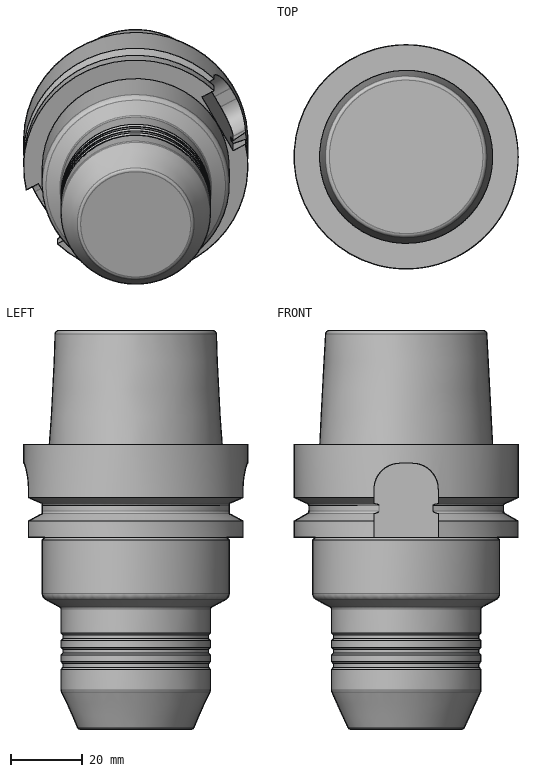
import cadquery as cq

total_height = 112.0

nose_tip_radius = 16.1
nose_tip_fillet = 1.0
nose_height = 10.8
neck_radius = 42.0 / 2
nose_edge_fillet = 1.7
neck_top = 34.2
neck_top_fillet = 0.6

ring_groove_count = 3
first_ring_groove_z = 17.9
ring_groove_pitch = 4.0
ring_groove_width = 2.1
ring_groove_floor_width = 1.0
ring_groove_depth = 0.6

body_radius = 52.5 / 2
body_shoulder_z = 37.0
body_shoulder_fillet = 2.0
body_top_chamfer = 0.7

flange_radius = 63.0 / 2
flange_bottom = 53.9
flange_top = 80.0
gripper_groove_radius = 27.3
gripper_groove_bottom = 58.5
gripper_groove_top = 65.1
gripper_groove_floor_bottom = 60.8
gripper_groove_floor_top = 63.2
gripper_groove_lower_fillet = 0.9
gripper_groove_upper_fillet = 0.6

slot_width = 18.0
slot_top = 74.7
slot_corner_radius = 7.3
slot_floor = body_radius

taper_base_radius = 24.3
taper_top_radius = 22.6
taper_top_fillet = 1.1


def revolve_outline(points):
    """Revolve a closed outline of (radius, height) points about Z."""
    return cq.Workplane("XZ").polyline(points).close().revolve(360, (0, 0, 0), (0, 1, 0))


def edges_at(radius, height):
    """Select the circular edge with the given radius at the given height."""
    reach = radius + 0.06
    gap = 0.06
    return cq.selectors.BoxSelector(
        (-reach, -reach, height - gap), (reach, reach, height + gap), boundingbox=True
    )


def make_turned_body():
    body = revolve_outline([
        (0, 0),
        (nose_tip_radius, 0),
        (neck_radius, nose_height),
        (neck_radius, neck_top),
        (body_radius, body_shoulder_z),
        (body_radius, flange_bottom - body_top_chamfer),
        (body_radius - body_top_chamfer, flange_bottom),
        (flange_radius, flange_bottom),
        (flange_radius, gripper_groove_bottom),
        (gripper_groove_radius, gripper_groove_floor_bottom),
        (gripper_groove_radius, gripper_groove_floor_top),
        (flange_radius, gripper_groove_top),
        (flange_radius, flange_top),
        (taper_base_radius, flange_top),
        (taper_top_radius, total_height),
        (0, total_height),
    ])
    rounded_edges = [
        (nose_tip_radius, 0, nose_tip_fillet),
        (neck_radius, nose_height, nose_edge_fillet),
        (neck_radius, neck_top, neck_top_fillet),
        (body_radius, body_shoulder_z, body_shoulder_fillet),
        (gripper_groove_radius, gripper_groove_floor_bottom, gripper_groove_lower_fillet),
        (gripper_groove_radius, gripper_groove_floor_top, gripper_groove_upper_fillet),
        (taper_top_radius, total_height, taper_top_fillet),
    ]
    for radius, height, fillet in rounded_edges:
        body = body.edges(edges_at(radius, height)).fillet(fillet)
    return body


def make_ring_groove(center_z):
    """Ring with a trapezoidal section, overshooting the neck surface."""
    floor_radius = neck_radius - ring_groove_depth
    outer_radius = neck_radius + ring_groove_depth
    half_floor = ring_groove_floor_width / 2
    half_width = ring_groove_width / 2
    return revolve_outline([
        (floor_radius, center_z - half_floor),
        (neck_radius, center_z - half_width),
        (outer_radius, center_z - half_width),
        (outer_radius, center_z + half_width),
        (neck_radius, center_z + half_width),
        (floor_radius, center_z + half_floor),
    ])


def make_drive_slot():
    """Cutter for the -Y slot: flat floor, open below, rounded upper corners."""
    height = slot_top - flange_bottom
    depth = flange_radius - slot_floor
    return (
        cq.Workplane("XY")
        .box(slot_width, depth, height, centered=(True, False, False))
        .edges("|Y and >Z")
        .fillet(slot_corner_radius)
        .translate((0, -flange_radius, flange_bottom))
    )


result = make_turned_body()
for index in range(ring_groove_count):
    result = result.cut(make_ring_groove(first_ring_groove_z + index * ring_groove_pitch))

for angle in (0, 180):
    result = result.cut(make_drive_slot().rotate((0, 0, 0), (0, 0, 1), angle))